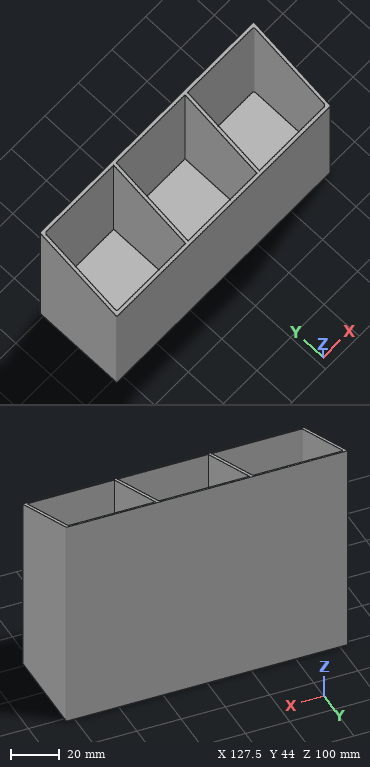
import cadquery as cq

LENGTH = 127.5
DEPTH = 44.0
BACK_HEIGHT = 100.0
FRONT_HEIGHT = 82.0
CORNER_RADIUS = 0.5

WALL = 1.5
FLOOR = 20.0
CAVITY_RADIUS = 0.9

COMPARTMENTS = 3
PITCH = LENGTH / COMPARTMENTS


def block(x, y, z, length, depth):
    """Box placed by its lower left front corner and reaching up to the back height."""
    height = BACK_HEIGHT - z
    return cq.Workplane("XY").box(length, depth, height, centered=False).translate((x, y, z))


def divider(index):
    """Wall standing on the floor and let through the front and back walls, flush outside."""
    return block(index * PITCH, 0, FLOOR, WALL, DEPTH)


below_rim = (
    cq.Workplane("YZ")
    .polyline([(0, 0), (DEPTH, 0), (DEPTH, BACK_HEIGHT), (0, FRONT_HEIGHT)])
    .close()
    .extrude(LENGTH)
)

outer = block(0, 0, 0, LENGTH, DEPTH).edges("|Z").fillet(CORNER_RADIUS)
cavity = block(WALL, WALL, FLOOR, LENGTH - 2 * WALL, DEPTH - 2 * WALL).edges("|Z").fillet(CAVITY_RADIUS)
holder = outer.cut(cavity)

for index in range(1, COMPARTMENTS):
    holder = holder.union(divider(index), clean=False)

result = holder.intersect(below_rim, clean=False)